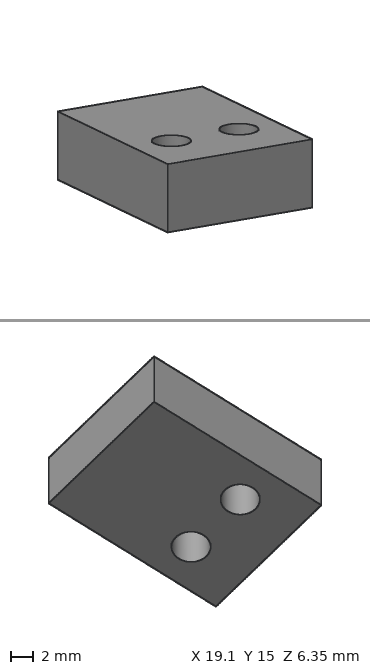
import cadquery as cq

length = 19.05
width = 15.0
height = 6.35

hole_diameter = 3.49
hole_spacing = 7.0
hole_offset_x = 3.49

block = cq.Workplane("XY").box(length, width, height)

result = (
    block.faces(">Z")
    .workplane()
    .center(hole_offset_x, 0)
    .rarray(0.2, hole_spacing, 1, 2)
    .hole(hole_diameter)
)